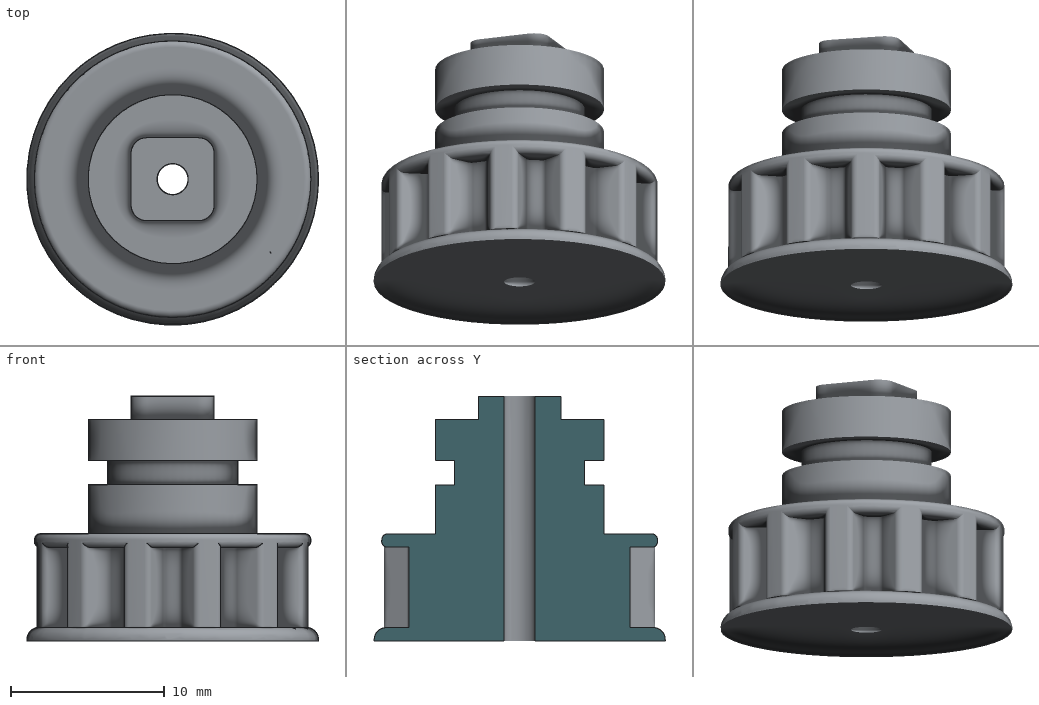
import cadquery as cq
import math

total_height = 15.95
drive_height = 1.5
cap_height = 7.0
shoulder_height = total_height - drive_height

cap_radius = 9.0
rim_round = 0.4

flange_radius = 9.5
flange_height = 0.9
flange_round = 0.8

flute_count = 12
flute_top = 6.1
flute_floor_radius = 7.22
flute_floor_half_width = 0.55
flute_wall_angle = 30.0
flute_floor_round = 0.25
flute_mouth_round = 0.4

neck_radius = 5.5
groove_radius = 4.25
groove_bottom = 10.2
groove_width = 1.55

drive_side = 5.4
drive_corner_round = 1.0
bore_diameter = 2.0

cutter_overshoot = 1.0
tolerance = 1e-4


def make_flute_cutter():
    """Trapezoidal pocket on the +X side, opening outward, with rounded floor corners."""
    mouth_radius = cap_radius + cutter_overshoot
    flare = (mouth_radius - flute_floor_radius) * math.tan(math.radians(flute_wall_angle))
    mouth_half_width = flute_floor_half_width + flare
    return (
        cq.Workplane("XY", origin=(0, 0, flange_height))
        .polyline([
            (flute_floor_radius, -flute_floor_half_width),
            (mouth_radius, -mouth_half_width),
            (mouth_radius, mouth_half_width),
            (flute_floor_radius, flute_floor_half_width),
        ])
        .close()
        .extrude(flute_top - flange_height)
        .edges("|Z and <X")
        .fillet(flute_floor_round)
    )


def is_flute_mouth(edge):
    """True for flute edges on the cap's outer cylinder, leaving out its end circles and its seam."""
    ends = (edge.startPoint(), edge.endPoint())
    on_cylinder = all(abs(math.hypot(p.x, p.y) - cap_radius) < tolerance for p in ends)
    middle_z = edge.positionAt(0.5).z
    between_ends = flange_height + tolerance < middle_z < cap_height - tolerance
    is_seam = abs(edge.Length() - (cap_height - flange_height)) < tolerance
    return on_cylinder and between_ends and not is_seam


def make_cap():
    cap = cq.Workplane("XY", origin=(0, 0, flange_height)).circle(cap_radius)
    cap = cap.extrude(cap_height - flange_height)
    pitch = 360.0 / flute_count
    cap = cap.rotate((0, 0, 0), (0, 0, 1), pitch / 2)
    cutter = make_flute_cutter()
    for index in range(flute_count):
        cap = cap.cut(cutter.rotate((0, 0, 0), (0, 0, 1), index * pitch))
    mouth_edges = [edge for edge in cap.edges().vals() if is_flute_mouth(edge)]
    cap = cap.newObject(mouth_edges).fillet(flute_mouth_round)
    return cap.faces(">Z").edges().fillet(rim_round)


def make_flange():
    flange = cq.Workplane("XY").circle(flange_radius).extrude(flange_height)
    return flange.faces(">Z").edges().fillet(flange_round)


def make_neck():
    neck = cq.Workplane("XY", origin=(0, 0, cap_height)).circle(neck_radius)
    neck = neck.extrude(shoulder_height - cap_height)
    groove = (
        cq.Workplane("XY", origin=(0, 0, groove_bottom))
        .circle(neck_radius)
        .circle(groove_radius)
        .extrude(groove_width)
    )
    return neck.cut(groove)


def make_drive():
    return (
        cq.Workplane("XY", origin=(0, 0, shoulder_height))
        .rect(drive_side, drive_side)
        .extrude(drive_height)
        .edges("|Z")
        .fillet(drive_corner_round)
    )


bore = cq.Workplane("XY").circle(bore_diameter / 2).extrude(total_height)

result = make_flange().union(make_cap()).union(make_neck()).union(make_drive()).cut(bore)